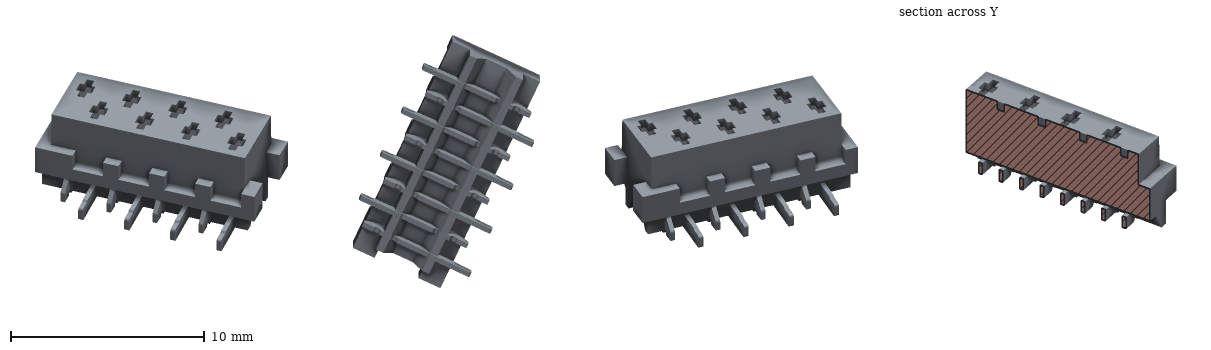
import cadquery as cq


overall_length = 12.09
overall_width = 6.9
overall_height = 5.25

contacts_per_row = 4
contact_spacing = 1.27
row_pitch = 2 * contact_spacing
first_contact_x = -contact_spacing * (2 * contacts_per_row - 1) / 2

block_length = 10.68
block_top_half_width = 1.92
block_base_half_width = 2.03
block_end = block_length / 2

flange_width = 5.0
flange_bottom = 1.72
flange_top = 3.32
closed_end_thickness = 0.69
flange_left = -block_end - closed_end_thickness
flange_right = flange_left + overall_length
key_gap_width = 2.51

notch_length = 1.69
notch_floor = 2.44
notch_radius = 0.23

foot_width = 3.02
foot_bottom = 0.23
hollow_top = 1.27
hollow_top_half_width = 0.57
hollow_bottom_half_width = 1.11

slot_length = 1.5
slot_narrow = 0.41
slot_wide = 0.86
slot_wide_length = 0.6
slot_depth = 0.5
slot_row_offset = slot_length / 2

contact_thickness = 0.25
tail_tip = overall_width / 2
tail_tip_bottom = -0.005
tail_tip_top = 0.75
tip_radius = 0.15
heel_start = 1.03
heel_end = 1.14
heel_bottom = 0.08
tail_step_start = 2.72
tail_step_end = 2.83
tail_step_height = 0.85
neck_position = -0.85
neck_height = 1.0
shoulder_top = -1.83
shoulder_end = -2.68
shoulder_end_height = flange_bottom - (shoulder_top - shoulder_end)
shoulder_radius = 0.18
back_edge_height = 0.33

relief_radius = 0.15
inner_relief_position = -0.93
inner_relief_height = 0.25
outer_relief_position = -1.91
outer_relief_height = 0.33
relief_flare = 0.08


def box_between(x_range, y_range, z_range):
    """Box spanning the given ranges."""
    sizes = [high - low for low, high in (x_range, y_range, z_range)]
    corner = (x_range[0], y_range[0], z_range[0])
    return cq.Workplane("XY").box(*sizes, centered=False).translate(corner)


def in_both_rows(shape):
    """Copies of a rear-row shape along its row, and the same row turned half a turn."""
    copies = []
    for index in range(contacts_per_row):
        moved = shape.translate((index * row_pitch, 0, 0))
        copies.append(moved)
        copies.append(moved.rotate((0, 0, 0), (0, 0, 1), 180))
    return copies


def make_flange():
    """Rectangular collar, open in the middle of its +X end."""
    half_width = flange_width / 2
    collar = box_between(
        (flange_left, flange_right), (-half_width, half_width), (flange_bottom, flange_top)
    )
    key_gap = box_between(
        (block_end, flange_right),
        (-key_gap_width / 2, key_gap_width / 2),
        (flange_bottom, flange_top),
    )
    return collar.cut(key_gap)


def make_rim_notch():
    """First notch of the rear rim, with a fillet against the mating block."""
    half_width = flange_width / 2
    profile = (
        cq.Workplane("YZ", origin=(-block_end, 0, 0))
        .moveTo(half_width, flange_top)
        .lineTo(half_width, notch_floor)
        .lineTo(block_base_half_width + notch_radius, notch_floor)
        .tangentArcPoint((block_base_half_width, notch_floor + notch_radius), relative=False)
        .lineTo(block_top_half_width, notch_floor + notch_radius)
        .lineTo(block_top_half_width, flange_top)
        .close()
    )
    return profile.extrude(notch_length)


def make_mating_block():
    """Upper block with drafted long sides, standing on the top of the notch fillets."""
    base = notch_floor + notch_radius
    outline = [
        (-block_base_half_width, base),
        (block_base_half_width, base),
        (block_top_half_width, overall_height),
        (-block_top_half_width, overall_height),
    ]
    return cq.Workplane("YZ", origin=(-block_end, 0, 0)).polyline(outline).close().extrude(block_length)


def make_foot():
    """Lower block with a tapered tunnel along its whole length."""
    foot = box_between(
        (flange_left, block_end), (-foot_width / 2, foot_width / 2), (foot_bottom, flange_bottom)
    )
    tunnel_outline = [
        (-hollow_bottom_half_width, foot_bottom),
        (hollow_bottom_half_width, foot_bottom),
        (hollow_top_half_width, hollow_top),
        (-hollow_top_half_width, hollow_top),
    ]
    tunnel = (
        cq.Workplane("YZ", origin=(flange_left, 0, 0))
        .polyline(tunnel_outline)
        .close()
        .extrude(block_end - flange_left)
    )
    return foot.cut(tunnel)


def make_slot():
    """Cross-shaped opening above the first contact of the rear row."""
    narrow = cq.Workplane("XY").rect(slot_narrow, slot_length).extrude(slot_depth)
    wide = cq.Workplane("XY").rect(slot_wide, slot_wide_length).extrude(slot_depth)
    return narrow.union(wide).translate(
        (first_contact_x, slot_row_offset, overall_height - slot_depth)
    )


def make_relief(position, height):
    """Round-topped relief cut, flared on the side nearer the tail."""
    arc_centre_height = foot_bottom + height - relief_radius
    far_side = position - relief_radius
    tail_side = position + relief_radius
    return (
        cq.Workplane("YZ", origin=(-contact_thickness / 2, 0, 0))
        .moveTo(far_side, foot_bottom)
        .lineTo(far_side, arc_centre_height)
        .threePointArc((position, foot_bottom + height), (tail_side, arc_centre_height))
        .lineTo(tail_side + relief_flare, foot_bottom)
        .close()
        .extrude(contact_thickness)
    )


def make_contact():
    """First contact of the rear row: long tail toward +Y, short shoulder toward -Y."""
    outline = [
        (heel_start, foot_bottom),
        (heel_end, heel_bottom),
        (tail_tip, tail_tip_bottom),
        (tail_tip, tail_tip_top),
        (tail_step_end, tail_tip_top),
        (tail_step_start, tail_step_height),
        (neck_position, neck_height),
        (neck_position, flange_bottom),
        (shoulder_top, flange_bottom),
        (shoulder_end, shoulder_end_height),
        (shoulder_end, back_edge_height),
        (outer_relief_position - relief_radius, back_edge_height),
        (outer_relief_position - relief_radius, foot_bottom),
    ]
    contact = (
        cq.Workplane("YZ", origin=(-contact_thickness / 2, 0, 0))
        .polyline(outline)
        .close()
        .extrude(contact_thickness)
    )
    contact = contact.edges("|X and >Y").fillet(tip_radius)
    shoulder_corner = cq.selectors.NearestToPointSelector((0, shoulder_end, shoulder_end_height))
    contact = contact.edges("|X").edges(shoulder_corner).fillet(shoulder_radius)
    contact = contact.cut(make_relief(inner_relief_position, inner_relief_height))
    contact = contact.cut(make_relief(outer_relief_position, outer_relief_height))
    return contact.translate((first_contact_x, 0, 0))


flange = make_flange()
for notch in in_both_rows(make_rim_notch()):
    flange = flange.cut(notch)

result = flange.union(make_mating_block()).union(make_foot())
for slot in in_both_rows(make_slot()):
    result = result.cut(slot)
for contact in in_both_rows(make_contact()):
    result = result.union(contact)